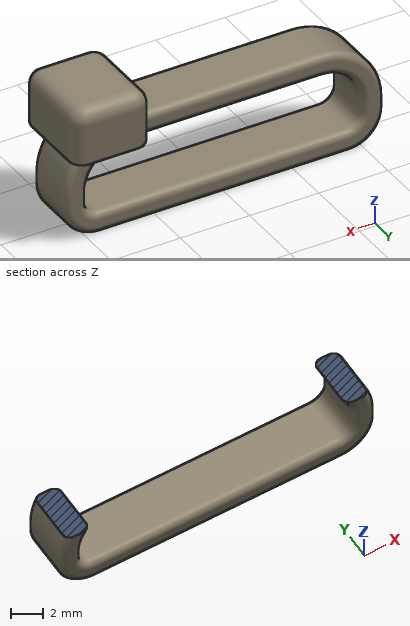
import cadquery as cq

loop_length = 23.0
loop_height = 7.75
loop_width = 4.0
wall = 1.5
upper_corner_radius = 4.5
lower_corner_radius = 2.5
loop_edge_radius = 0.5

block_length = 5.5
block_width = 6.5
block_height = 4.0
block_edge_radius = 1.0
block_bottom_edge_radius = 0.25

block_bottom = loop_height - wall
block_center_x = (loop_length - block_length) / 2


def rounded_bar(length, height, bottom, upper_radius, lower_radius):
    """Bar centred on X and Y, with different upper and lower corner radii."""
    return (
        cq.Workplane("XY")
        .box(length, loop_width, height, centered=(True, True, False))
        .edges("|Y and >Z")
        .fillet(upper_radius)
        .edges("|Y and <Z")
        .fillet(lower_radius)
        .translate((0, 0, bottom))
    )


def make_loop():
    outer = rounded_bar(loop_length, loop_height, 0, upper_corner_radius, lower_corner_radius)
    opening = rounded_bar(
        loop_length - 2 * wall,
        loop_height - 2 * wall,
        wall,
        upper_corner_radius - wall,
        lower_corner_radius - wall,
    )
    return outer.cut(opening).faces("<Y or >Y").edges().fillet(loop_edge_radius)


def make_block():
    return (
        cq.Workplane("XY")
        .box(block_length, block_width, block_height, centered=(True, True, False))
        .edges("|Z or >Z")
        .fillet(block_edge_radius)
        .faces("<Z")
        .edges()
        .fillet(block_bottom_edge_radius)
        .translate((block_center_x, 0, block_bottom))
    )


result = make_loop().union(make_block())